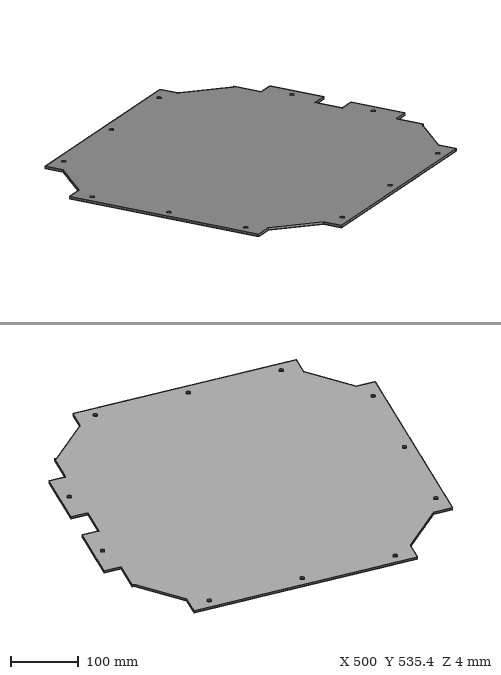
import cadquery as cq

WIDTH = 500.0
LENGTH = 535.4
THICKNESS = 4.0

CORNER_NOTCH = 90.3
FLANGE_DEPTH = CORNER_NOTCH / 3

REAR_EDGE_STEPS = 7
SHOULDER_DEPTH = 26.8

HOLE_DIAMETER = 6.6
HOLE_EDGE_DISTANCE = 15.0
HOLE_END_DISTANCE = 30.0

half_width = WIDTH / 2
half_length = LENGTH / 2
front_half_width = half_width - CORNER_NOTCH
side_half_length = half_length - CORNER_NOTCH
flange_x = half_width - FLANGE_DEPTH
flange_y = half_length - FLANGE_DEPTH
shoulder_y = half_length - SHOULDER_DEPTH
rear_step = 2 * front_half_width / REAR_EDGE_STEPS
tab_width = 2 * rear_step
tab_center_x = rear_step / 2 + tab_width / 2


def make_plate():
    """Flat plate, outlined on its right-hand side and mirrored across the YZ plane."""
    tab_inner_x = tab_center_x - tab_width / 2
    tab_outer_x = tab_center_x + tab_width / 2
    right_outline = [
        (front_half_width, -half_length),
        (front_half_width, -flange_y),
        (flange_x, -side_half_length),
        (half_width, -side_half_length),
        (half_width, side_half_length),
        (flange_x, side_half_length),
        (front_half_width, flange_y),
        (front_half_width, shoulder_y),
        (tab_outer_x, shoulder_y),
        (tab_outer_x, half_length),
        (tab_inner_x, half_length),
        (tab_inner_x, shoulder_y),
    ]
    left_outline = [(-x, y) for x, y in reversed(right_outline)]
    outline = right_outline + left_outline
    return cq.Workplane("XY").polyline(outline).close().extrude(THICKNESS)


def hole_centers():
    """Three holes along each side and the front edge, and one in each rear tab."""
    side_x = half_width - HOLE_EDGE_DISTANCE
    edge_y = half_length - HOLE_EDGE_DISTANCE
    side_spacing = side_half_length - HOLE_END_DISTANCE
    front_spacing = front_half_width - HOLE_END_DISTANCE
    centers = []
    for step in (-1, 0, 1):
        centers.append((-side_x, step * side_spacing))
        centers.append((side_x, step * side_spacing))
        centers.append((step * front_spacing, -edge_y))
    for side in (-1, 1):
        centers.append((side * tab_center_x, edge_y))
    return centers


def cut_holes(plate):
    """Drill every mounting hole through the plate."""
    drill_plane = plate.faces(">Z").workplane(origin=(0, 0, 0))
    return drill_plane.pushPoints(hole_centers()).hole(HOLE_DIAMETER)


result = cut_holes(make_plate())